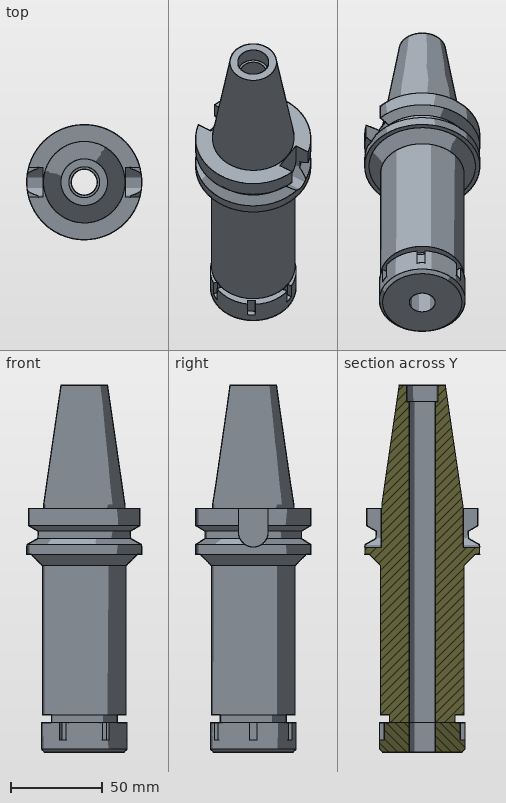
import cadquery as cq

total_height = 200.5

taper_length = 65.3
taper_ratio = 7 / 24
gauge_radius = 22.2
taper_top_radius = gauge_radius - taper_length * taper_ratio / 2
gauge_z = total_height - taper_length
collar_height = 2.0

flange_radius = 31.5
flange_top_z = gauge_z - collar_height
flange_bottom_z = 108.0
groove_radius = 26.5
groove_top_z = 123.6
groove_floor_top_z = 120.6
groove_floor_bottom_z = 116.6
groove_bottom_z = 113.5

body_radius = 22.8
body_cone_height = 6.2
body_cone_radius = body_radius + body_cone_height
body_bottom_z = 20.5
neck_radius = 18.0

keyway_width = 16.2
keyway_floor_x = 22.5
keyway_bottom_z = 112.0

bore_radius = 7.0
counterbore_radius = 8.5
counterbore_depth = 9.0

nut_height = 16.2
nut_radius = 23.5
nut_chamfer = 1.8
slot_count = 6
slot_width = 4.2
slot_depth = 2.6
slot_bottom_z = 6.8


def revolved(profile):
    """Solid of revolution about Z from (radius, z) points."""
    return cq.Workplane("XZ").polyline(profile).close().revolve(360, (0, 0), (0, 1))


def keyway_cutter(side):
    """Round-bottomed slot on the +X (side = 1) or -X (side = -1) face of the flange."""
    half_width = keyway_width / 2
    arc_center_z = keyway_bottom_z + half_width
    return (
        cq.Workplane("YZ")
        .workplane(offset=side * keyway_floor_x)
        .moveTo(-half_width, flange_top_z)
        .lineTo(-half_width, arc_center_z)
        .threePointArc((0, keyway_bottom_z), (half_width, arc_center_z))
        .lineTo(half_width, flange_top_z)
        .close()
        .extrude(side * flange_radius)
    )


def make_holder():
    """Taper shank, grooved flange, extension and neck with a stepped through bore."""
    counterbore_z = total_height - counterbore_depth
    holder = revolved([
        (counterbore_radius, total_height),
        (taper_top_radius, total_height),
        (gauge_radius, gauge_z),
        (gauge_radius, flange_top_z),
        (flange_radius, flange_top_z),
        (flange_radius, groove_top_z),
        (groove_radius, groove_floor_top_z),
        (groove_radius, groove_floor_bottom_z),
        (flange_radius, groove_bottom_z),
        (flange_radius, flange_bottom_z),
        (body_cone_radius, flange_bottom_z),
        (body_radius, flange_bottom_z - body_cone_height),
        (body_radius, body_bottom_z),
        (neck_radius, body_bottom_z),
        (neck_radius, nut_height),
        (bore_radius, nut_height),
        (bore_radius, counterbore_z),
        (counterbore_radius, counterbore_z),
    ])
    for side in (-1, 1):
        holder = holder.cut(keyway_cutter(side))
    return holder


def make_nut():
    """Ring nut under the neck, with wrench slots open at the top."""
    nut = revolved([
        (bore_radius, nut_height),
        (nut_radius, nut_height),
        (nut_radius, nut_chamfer),
        (nut_radius - nut_chamfer, 0),
        (bore_radius, 0),
    ])
    slot_floor_radius = nut_radius - slot_depth
    slot = cq.Workplane("XY").box(
        nut_radius, slot_width, nut_height, centered=(False, True, False)
    ).translate((slot_floor_radius, 0, slot_bottom_z))
    for index in range(slot_count):
        nut = nut.cut(slot.rotate((0, 0, 0), (0, 0, 1), index * 360 / slot_count))
    return nut


holder = make_holder()
nut = make_nut()

result = cq.Compound.makeCompound([holder.val(), nut.val()])